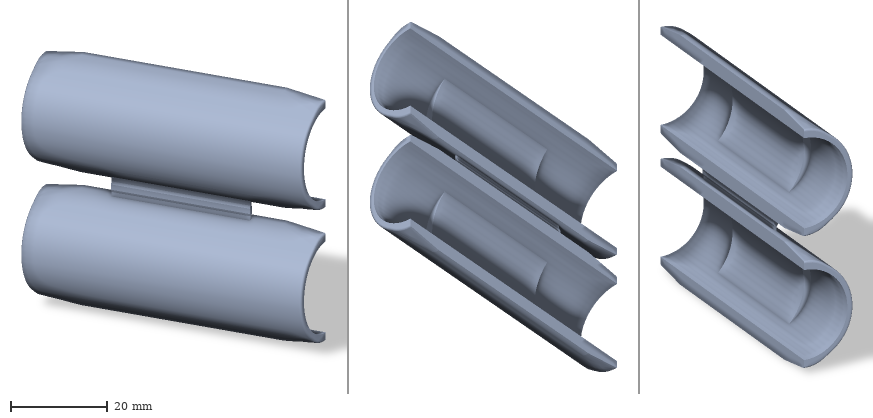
import cadquery as cq
import math


length = 65.0
overall_height = 55.8
pitch = 29.45
bore_radius = 10.1
outer_radius = 11.45
flange_half_height = (overall_height - pitch) / 2
flank_angle = math.radians(35.2)
lip_depth = 0.45

taper_length = 9.0
end_half_height = 11.9
end_rounding = 0.45

pad_apex_depth = 8.4
pad_radius = 12.9

web_length = 32.2
web_depth = 1.8
web_thickness = 0.45
bead_thickness = 1.05
bead_flat_height = 1.2
bead_height = 2.35
web_height = 5.2


def extrude_along_x(sketch, size):
    """Extrude a YZ outline symmetrically about X = 0."""
    return sketch.extrude(size / 2, both=True)


def shell_outline(plane_x, half_height):
    """Half-tube outline at X = plane_x whose flange edges stand half_height off the tube axis.

    From each flange edge a short straight lip is followed by a tangent arc, a flat flank
    and the round back; the flank lies on the same plane for every half_height.
    """
    sin_a, cos_a = math.sin(flank_angle), math.cos(flank_angle)
    tangent_depth = outer_radius * sin_a
    tangent_height = outer_radius * cos_a
    corner_depth = (outer_radius - half_height * cos_a) / sin_a
    blend_radius = (corner_depth - lip_depth) / math.tan(flank_angle / 2)
    blend_center_height = half_height - blend_radius

    def blend_point(angle):
        depth = lip_depth + blend_radius * math.sin(angle)
        height = blend_center_height + blend_radius * math.cos(angle)
        return depth, height

    mid_depth, mid_height = blend_point(flank_angle / 2)
    end_depth, end_height = blend_point(flank_angle)
    return (
        cq.Workplane("YZ", origin=(plane_x, 0, 0))
        .moveTo(0, half_height)
        .lineTo(-lip_depth, half_height)
        .threePointArc((-mid_depth, mid_height), (-end_depth, end_height))
        .lineTo(-tangent_depth, tangent_height)
        .threePointArc((-outer_radius, 0), (-tangent_depth, -tangent_height))
        .lineTo(-end_depth, -end_height)
        .threePointArc((-mid_depth, -mid_height), (-lip_depth, -half_height))
        .lineTo(0, -half_height)
        .close()
    )


def shell_blank():
    """Solid half-tube: a straight middle and two ends whose flanges taper in."""
    stations = [
        (-length / 2, end_half_height),
        (taper_length - length / 2, flange_half_height),
        (length / 2 - taper_length, flange_half_height),
        (length / 2, end_half_height),
    ]
    wires = [shell_outline(x, height).wire().val() for x, height in stations]
    return cq.Workplane(cq.Solid.makeLoft(wires, True))


def grip_pad():
    """Pad on the bore floor, bounded by the bore and a flatter arc."""
    center_y = pad_radius - pad_apex_depth
    mid_wall_radius = (bore_radius + outer_radius) / 2
    bore_fill = extrude_along_x(cq.Workplane("YZ").circle(mid_wall_radius), web_length)
    hollow = extrude_along_x(cq.Workplane("YZ").center(center_y, 0).circle(pad_radius), length)
    front_half = cq.Workplane("XY").box(length, outer_radius, 2 * outer_radius).translate(
        (0, -outer_radius / 2, 0)
    )
    return bore_fill.cut(hollow).intersect(front_half)


def shell():
    """One complete half-tube centred on the X axis."""
    body = shell_blank()
    outer_end_edges = body.faces("<X or >X").edges("not >Y")
    body = outer_end_edges.fillet(end_rounding)
    bore = extrude_along_x(cq.Workplane("YZ").circle(bore_radius), length)
    return body.cut(bore).union(grip_pad())


def hinge_web():
    """Thin web between the shells with a thicker bevelled bead along its middle."""
    front_side = [
        (web_thickness / 2, web_height / 2),
        (web_thickness / 2, bead_height / 2),
        (bead_thickness / 2, bead_flat_height / 2),
        (bead_thickness / 2, -bead_flat_height / 2),
        (web_thickness / 2, -bead_height / 2),
        (web_thickness / 2, -web_height / 2),
    ]
    rear_side = [(-offset, z) for offset, z in reversed(front_side)]
    outline = cq.Workplane("YZ").center(-web_depth, 0).polyline(front_side + rear_side).close()
    return extrude_along_x(outline, web_length)


single_shell = shell()
result = hinge_web()
for side in (-1, 1):
    result = result.union(single_shell.translate((0, 0, side * pitch / 2)))